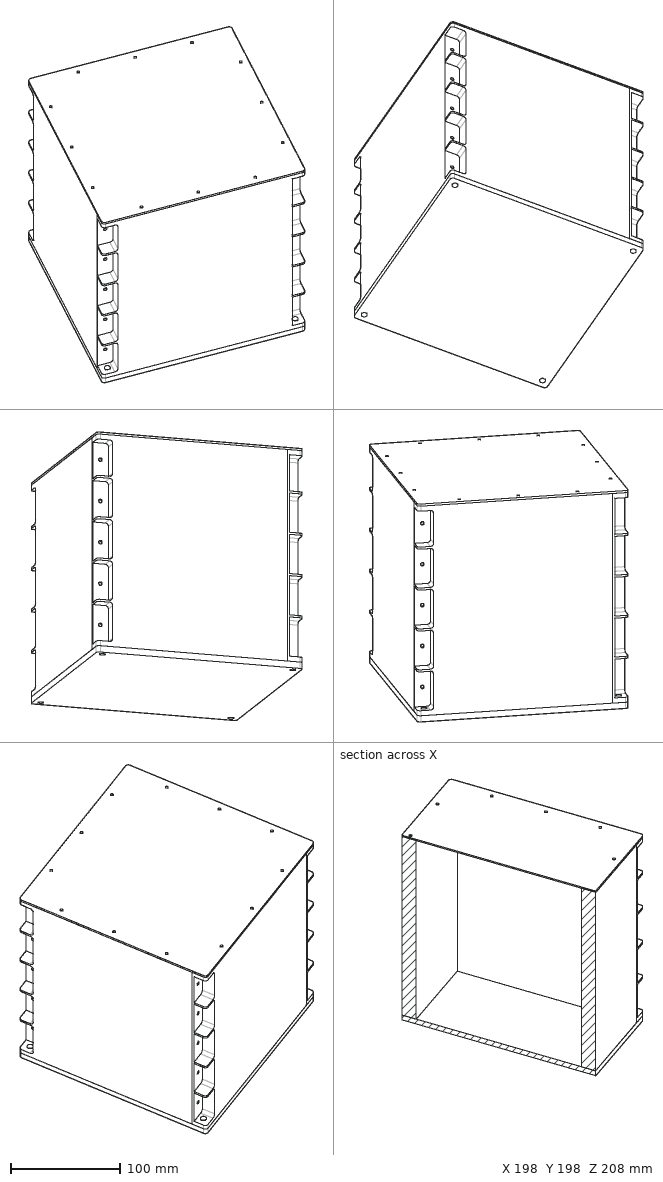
import cadquery as cq
side = 198.0
base_thickness = 6.0
wall_height = 200.0
lid_thickness = 2.0
wall_thickness = 15.0
corner_radius = 3.0

half_side = side / 2
wall_length = side - wall_thickness
wall_top = base_thickness + wall_height

pocket_count = 5
shelf_thickness = 2.0
pocket_end_margin = 4.8
pocket_pitch = (wall_height - pocket_end_margin) / pocket_count
pocket_height = pocket_pitch - shelf_thickness
pocket_width = 15.0
pocket_back_wall = 2.0
pocket_depth = wall_thickness - pocket_back_wall
pocket_corner_radius = 3.0
pocket_bottom = base_thickness + pocket_end_margin
pocket_limit = wall_top - pocket_end_margin

joint_hole_diameter = 3.2
foot_hole_diameter = 5.4
screw_line = half_side - wall_thickness / 2

lid_hole_diameter = 2.5
lid_hole_pitch = 55.45
lid_hole_shift = -2.8

front_turn = 0
right_turn = 90
back_turn = 180
left_turn = -90
side_turns = [front_turn, right_turn, back_turn, left_turn]


def turned(shape, angle):
    return shape.rotate((0, 0, 0), (0, 0, 1), angle)


def upright_hole(x, y, diameter, bottom, depth):
    return cq.Workplane("XY", origin=(x, y, bottom)).circle(diameter / 2).extrude(depth)


def plate(bottom, thickness):
    """Square plate with rounded upright corners."""
    blank = cq.Workplane("XY").workplane(offset=bottom).rect(side, side).extrude(thickness)
    return blank.edges("|Z").fillet(corner_radius)


def pocket_bounds(index):
    """Bottom and top of a pocket; the topmost pocket is cut short below the lid."""
    bottom = pocket_bottom + index * pocket_pitch
    return bottom, min(bottom + pocket_height, pocket_limit)


def pocket(index):
    """Corner pocket open to the front and to the left, rounded at its closed end."""
    bottom, top = pocket_bounds(index)
    block = cq.Workplane("XY").box(pocket_width, pocket_depth, top - bottom, centered=False)
    block = block.edges("|Y and >X").fillet(pocket_corner_radius)
    return block.translate((-half_side, -half_side, bottom))


def joint_hole(index):
    """Screw hole along Y through the back wall of a pocket."""
    height = pocket_bottom + index * pocket_pitch + pocket_height / 2
    start = cq.Workplane("XZ", origin=(-screw_line, -half_side, height))
    return start.circle(joint_hole_diameter / 2).extrude(-wall_thickness)


def wall(turn):
    """Wall with a rounded, pocketed corner at one end and a plain other end."""
    block = cq.Workplane("XY").box(wall_length, wall_thickness, wall_height, centered=False)
    block = block.translate((-half_side, -half_side, base_thickness))
    block = block.edges("|Z and <X and <Y").fillet(corner_radius)
    for index in range(pocket_count):
        block = block.cut(pocket(index)).cut(joint_hole(index))
    foot_hole = upright_hole(
        -screw_line, -screw_line, foot_hole_diameter, base_thickness, pocket_end_margin
    )
    return turned(block.cut(foot_hole), turn)


def corner_wall():
    """Right and back walls joined into one L-shaped body."""
    return wall(right_turn).union(wall(back_turn))


def base_plate():
    """Bottom plate with a foot hole under the lowest pocket of each corner."""
    base = plate(0, base_thickness)
    foot_hole = upright_hole(-screw_line, -screw_line, foot_hole_diameter, 0, base_thickness)
    for turn in side_turns:
        base = base.cut(turned(foot_hole, turn))
    return base


def lid_plate():
    """Top plate with a row of screw holes over each wall."""
    lid = plate(wall_top, lid_thickness)
    for step in (-1, 0, 1):
        x = lid_hole_shift + step * lid_hole_pitch
        hole = upright_hole(x, -screw_line, lid_hole_diameter, wall_top, lid_thickness)
        for turn in side_turns:
            lid = lid.cut(turned(hole, turn))
    return lid


base = base_plate()
lid = lid_plate()
front_panel = wall(front_turn)
left_panel = wall(left_turn)
right_and_back_walls = corner_wall()

bodies = [base, lid, front_panel, left_panel, right_and_back_walls]
result = cq.Compound.makeCompound([body.val() for body in bodies])